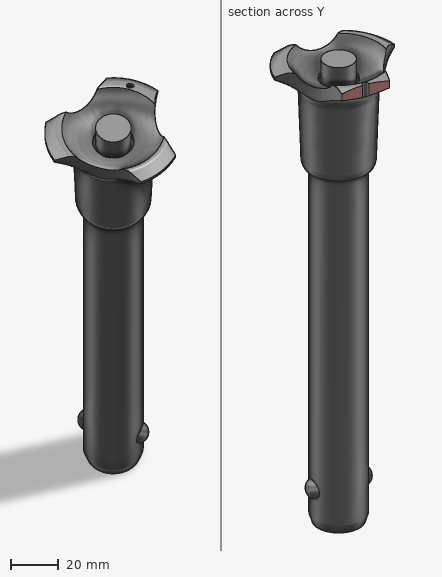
import cadquery as cq
import math

overall_length = 222.7
handle_height = 50.4

shank_radius = 12.5
shank_length = overall_length - handle_height
tip_chamfer_height = 4.0
tip_chamfer_width = 1.2

ball_radius = 4.7
ball_reach = 15.3
ball_height_above_tip = 18.2

sleeve_top_radius = 16.9
sleeve_bottom_radius = 15.8
sleeve_top_z = handle_height - 14.8
base_radius = 14.9
base_round_height = 3.9
base_round_bulge = 0.3

flange_radius = 28.6
flange_edge_top_drop = 2.9
flange_edge_bottom_drop = 4.2
flange_underside_drop = 5.2
flange_underside_radius = 26.0
flare_bulge = 1.7
rim_outer_radius = 24.0
rim_drop = 0.3

bowl_mouth_radius = 21.5
bowl_depth = 9.2
bowl_bulge = 2.1
well_radius = 8.6
well_depth = 2.0
button_radius = 7.4

side_scallop_distance = 18.6
side_scallop_radius = 37.5
front_scallop_distance = 18.2
front_scallop_radius = 57.0
side_scallop_angles = (30, 150)
front_scallop_angle = 270

lanyard_hole_diameter = 3.0
lanyard_hole_y = 23.5


def make_handle_blank():
    top = handle_height
    bowl_floor_z = top - bowl_depth
    well_floor_z = bowl_floor_z - well_depth
    rim_middle_radius = (rim_outer_radius + bowl_mouth_radius) / 2
    half_profile = (
        cq.Workplane("XZ")
        .lineTo(base_radius, 0)
        .sagittaArc((sleeve_bottom_radius, base_round_height), -base_round_bulge)
        .lineTo(sleeve_top_radius, sleeve_top_z)
        .sagittaArc((flange_underside_radius, top - flange_underside_drop), flare_bulge)
        .lineTo(flange_radius, top - flange_edge_bottom_drop)
        .lineTo(flange_radius, top - flange_edge_top_drop)
        .lineTo(rim_outer_radius, top - rim_drop)
        .threePointArc((rim_middle_radius, top), (bowl_mouth_radius, top - rim_drop))
        .sagittaArc((well_radius, bowl_floor_z), bowl_bulge)
        .lineTo(well_radius, well_floor_z)
        .lineTo(0, well_floor_z)
        .close()
    )
    return half_profile.revolve(360, (0, 0, 0), (0, 1, 0))


def make_scallop(angle, distance, radius):
    center_distance = distance + radius
    center_x = center_distance * math.cos(math.radians(angle))
    center_y = center_distance * math.sin(math.radians(angle))
    return cq.Workplane("XY").center(center_x, center_y).circle(radius).extrude(handle_height)


def make_handle():
    handle = make_handle_blank()
    for angle in side_scallop_angles:
        handle = handle.cut(make_scallop(angle, side_scallop_distance, side_scallop_radius))
    handle = handle.cut(
        make_scallop(front_scallop_angle, front_scallop_distance, front_scallop_radius)
    )
    lanyard_hole = (
        cq.Workplane("XY")
        .center(0, lanyard_hole_y)
        .circle(lanyard_hole_diameter / 2)
        .extrude(handle_height)
    )
    return handle.cut(lanyard_hole)


def make_button():
    button_length = bowl_depth + well_depth
    well_floor_z = handle_height - button_length
    return cq.Workplane("XY").workplane(offset=well_floor_z).circle(button_radius).extrude(button_length)


def make_shank():
    shank = cq.Workplane("XY").circle(shank_radius).extrude(-shank_length)
    return shank.faces("<Z").edges().chamfer(tip_chamfer_height, tip_chamfer_width)


def make_ball(side):
    center_x = side * (ball_reach - ball_radius)
    center_z = ball_height_above_tip - shank_length
    return cq.Workplane("XY").sphere(ball_radius).translate((center_x, 0, center_z))


result = make_handle().union(make_button()).union(make_shank())
for ball_side in (-1, 1):
    result = result.union(make_ball(ball_side))